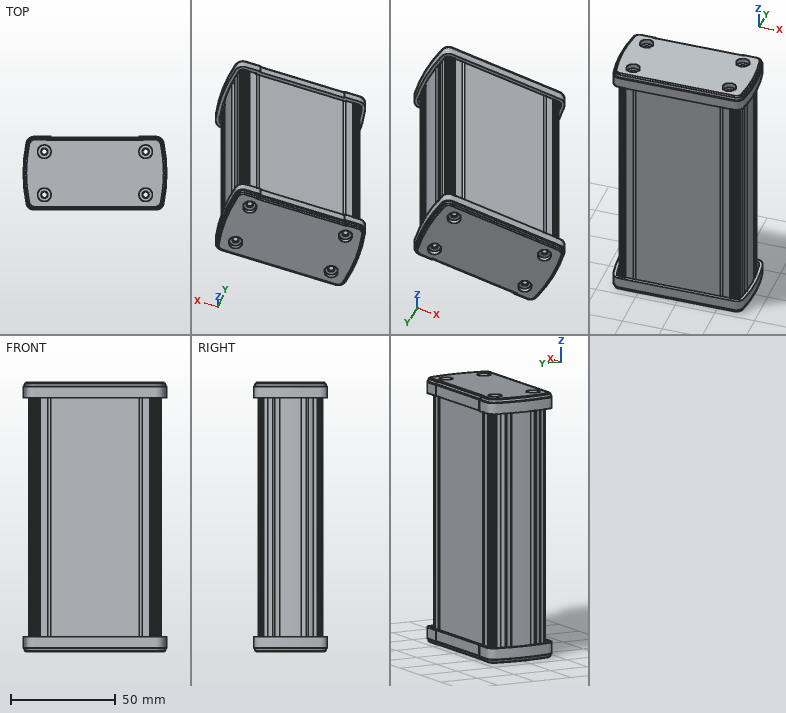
import cadquery as cq
import math

height = 129.0
cap_width = 68.8
cap_depth = 35.2

cap_height = 7.4
cap_corner_radius = 4.1
cap_side_bulge = 2.2
lip_wall = 1.7
pocket_depth = 3.7
notch_width = 42.6
notch_depth = 0.4
crown_height = 2.0
ledge_height = 0.4
ledge_inset = 0.4
lower_bevel_inset = 0.4
top_bevel_height = 0.5
top_bevel_inset = 0.8

screw_spacing_x = 48.5
screw_spacing_y = 20.6
screw_head_diameter = 6.5
screw_head_depth = 2.6
clearance_diameter = 3.2
thread_diameter = 2.8

body_width = 63.5
body_depth = 31.0
body_face_half_width = 26.0
body_side_half_depth = 12.9
face_groove_x = 21.9
face_groove_radius = 0.6
flute_count = 7
flute_radius = 0.3

grip_inner_y = 5.2
grip_outer_y = 10.8
grip_floor_x = 30.2
grip_floor_end_y = 5.7
grip_floor_bend_x = 30.3
grip_floor_bend_y = 6.7
crest_foot_x = 30.7
crest_foot_y = 7.6
crest_x = 31.2
crest_y = 8.4
grip_shoulder_x = 30.8
grip_shoulder_y = 9.7
grip_outer_x = 30.0

body_bottom = cap_height - pocket_depth
body_height = height - 2 * body_bottom
cap_side_radius = ((cap_depth / 2) ** 2 + cap_side_bulge**2) / (2 * cap_side_bulge)
body_side_radius = cap_side_radius - (cap_width - body_width) / 2


def body_side_x(y):
    """Distance of the bowed body side from the centre plane at a given y."""
    sag = body_side_radius - math.sqrt(body_side_radius**2 - y**2)
    return body_width / 2 - sag


corner_run = body_side_x(body_side_half_depth) - body_face_half_width
corner_drop = body_depth / 2 - body_side_half_depth
corner_radius = (corner_run**2 + corner_drop**2) / (2 * corner_drop)
corner_sweep = math.asin(corner_run / corner_radius)


def corner_point(fraction):
    """Point on the +X +Y body corner, from the flat face (0) to the bowed side (1)."""
    angle = fraction * corner_sweep
    x = body_face_half_width + corner_radius * math.sin(angle)
    y = body_depth / 2 - corner_radius * (1 - math.cos(angle))
    return x, y


def four_way(tool):
    """A tool in the +X +Y quarter together with its mirror images in the other three."""
    pair = tool.union(tool.mirror("YZ"))
    return pair.union(pair.mirror("XZ"))


def body_blank():
    side_x, side_y = corner_point(1)
    mid_x, mid_y = corner_point(0.5)
    face_x = body_face_half_width
    face_y = body_depth / 2
    return (
        cq.Workplane("XY", origin=(0, 0, body_bottom))
        .moveTo(-face_x, face_y)
        .lineTo(face_x, face_y)
        .threePointArc((mid_x, mid_y), (side_x, side_y))
        .threePointArc((body_width / 2, 0), (side_x, -side_y))
        .threePointArc((mid_x, -mid_y), (face_x, -face_y))
        .lineTo(-face_x, -face_y)
        .threePointArc((-mid_x, -mid_y), (-side_x, -side_y))
        .threePointArc((-body_width / 2, 0), (-side_x, side_y))
        .threePointArc((-mid_x, mid_y), (-face_x, face_y))
        .close()
        .extrude(body_height)
    )


def face_groove():
    return (
        cq.Workplane("XY", origin=(0, 0, body_bottom))
        .center(face_groove_x, body_depth / 2)
        .circle(face_groove_radius)
        .extrude(body_height)
    )


def corner_flutes():
    centres = [corner_point((i + 0.5) / flute_count) for i in range(flute_count)]
    return (
        cq.Workplane("XY", origin=(0, 0, body_bottom))
        .pushPoints(centres)
        .circle(flute_radius)
        .extrude(body_height)
    )


def grip_groove():
    outside_x = cap_width / 2
    return (
        cq.Workplane("XY", origin=(0, 0, body_bottom))
        .moveTo(outside_x, grip_inner_y)
        .lineTo(grip_floor_x, grip_inner_y)
        .lineTo(grip_floor_x, grip_floor_end_y)
        .threePointArc((grip_floor_bend_x, grip_floor_bend_y), (crest_foot_x, crest_foot_y))
        .lineTo(crest_foot_x, crest_y)
        .lineTo(crest_x, crest_y)
        .threePointArc((grip_shoulder_x, grip_shoulder_y), (grip_outer_x, grip_outer_y))
        .lineTo(outside_x, grip_outer_y)
        .close()
        .extrude(body_height)
    )


def make_body():
    thread_holes = (
        cq.Workplane("XY", origin=(0, 0, body_bottom))
        .rect(screw_spacing_x, screw_spacing_y, forConstruction=True)
        .vertices()
        .circle(thread_diameter / 2)
        .extrude(body_height)
    )
    return (
        body_blank()
        .cut(four_way(face_groove()))
        .cut(four_way(corner_flutes()))
        .cut(four_way(grip_groove()))
        .cut(thread_holes)
    )


def cap_block(bottom, block_height, inset):
    """Prism of the cap outline moved inward by inset, with the +Y notch."""
    half_x = cap_width / 2 - inset
    half_y = cap_depth / 2 - inset
    radius = cap_side_radius - inset
    end_x = half_x - radius + math.sqrt(radius**2 - half_y**2)
    block = (
        cq.Workplane("XY", origin=(0, 0, bottom))
        .moveTo(-end_x, half_y)
        .lineTo(end_x, half_y)
        .threePointArc((half_x, 0), (end_x, -half_y))
        .lineTo(-end_x, -half_y)
        .threePointArc((-half_x, 0), (-end_x, half_y))
        .close()
        .extrude(block_height)
        .edges("|Z")
        .fillet(cap_corner_radius - inset)
    )
    notch = (
        cq.Workplane("XY", origin=(0, 0, bottom))
        .center(0, half_y)
        .rect(notch_width + 2 * inset, 2 * notch_depth)
        .extrude(block_height)
    )
    return block.cut(notch)


def cap_outline(level, inset):
    """Closed outline of the notched cap at a given height."""
    return cap_block(level, cap_height, inset).faces("<Z").wires().val()


def crown_band(bottom, band_height, bottom_inset, top_inset):
    """Sloped band of the crown between two outlines."""
    outlines = [cap_outline(bottom, bottom_inset), cap_outline(bottom + band_height, top_inset)]
    return cq.Workplane(cq.Solid.makeLoft(outlines, True))


def make_top_cap():
    """Cap with a bevelled crown, a pocket that receives the body end, and four screw holes."""
    cap_bottom = height - cap_height
    crown_bottom = height - crown_height
    lower_bevel_height = crown_height - ledge_height - top_bevel_height
    bands = [
        (ledge_height, ledge_inset),
        (lower_bevel_height, lower_bevel_inset),
        (top_bevel_height, top_bevel_inset),
    ]
    cap = cap_block(cap_bottom, cap_height - crown_height, 0)
    level = crown_bottom
    inset = 0
    for band_height, band_inset in bands:
        cap = cap.union(crown_band(level, band_height, inset, inset + band_inset))
        level += band_height
        inset += band_inset
    pocket = cap_block(cap_bottom, pocket_depth, lip_wall)
    return (
        cap.cut(pocket)
        .faces(">Z")
        .workplane(origin=(0, 0, height))
        .rect(screw_spacing_x, screw_spacing_y, forConstruction=True)
        .vertices()
        .cboreHole(clearance_diameter, screw_head_diameter, screw_head_depth)
    )


body = make_body()
top_cap = make_top_cap()
bottom_cap = top_cap.mirror("XY", (0, 0, height / 2))

parts = [body, top_cap, bottom_cap]
result = cq.Compound.makeCompound([part.solids().val() for part in parts])